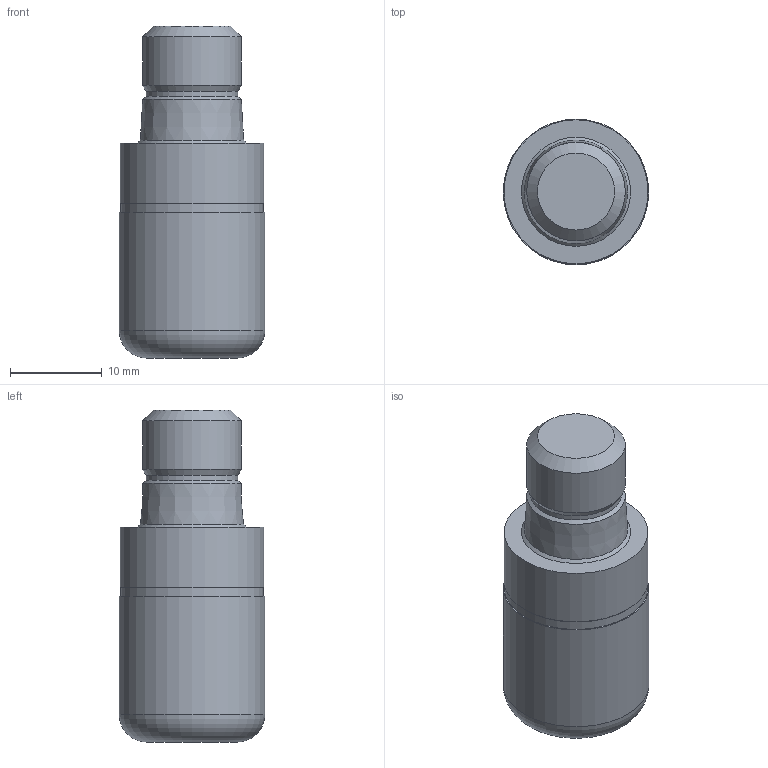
import cadquery as cq

overall_length = 36.2
shoulder_height = 23.4
joint_height = 16.9
band_height = 1.0
bottom_rounding = 3.0

collar_radius = 7.85
root_flare_radius = 5.95
root_flare_height = 0.32
root_base_radius = 5.63
root_height = 4.8
stud_radius = 5.375
groove_radius = 5.0
groove_lower_height = 0.32
groove_floor_width = 0.55
groove_upper_height = 0.65
tip_radius = 4.2
tip_taper_height = 1.15

cap_radius = 15.88 / 2
band_radius = 7.8

groove_start = shoulder_height + root_height
groove_floor_start = groove_start + groove_lower_height
groove_floor_end = groove_floor_start + groove_floor_width
groove_end = groove_floor_end + groove_upper_height


def revolve_profile(profile):
    """Turn a closed half outline (radius, height) about the Z axis."""
    return profile.close().revolve(360, (0, 0, 0), (0, 1, 0))


def make_plug():
    """Collar carrying a tapered root, a groove with sloping sides and a stud with a bevelled tip."""
    profile = (
        cq.Workplane("XZ")
        .moveTo(0, joint_height)
        .lineTo(collar_radius, joint_height)
        .lineTo(collar_radius, shoulder_height)
        .lineTo(root_flare_radius, shoulder_height)
        .lineTo(root_base_radius, shoulder_height + root_flare_height)
        .lineTo(stud_radius, groove_start)
        .lineTo(groove_radius, groove_floor_start)
        .lineTo(groove_radius, groove_floor_end)
        .lineTo(stud_radius, groove_end)
        .lineTo(stud_radius, overall_length - tip_taper_height)
        .lineTo(tip_radius, overall_length)
        .lineTo(0, overall_length)
    )
    return revolve_profile(profile)


def make_cap():
    """Round-bottomed cap with a short, slightly narrower band below the joint."""
    band_start = joint_height - band_height
    body = (
        cq.Workplane("XY")
        .circle(cap_radius)
        .extrude(band_start)
        .faces("<Z")
        .edges()
        .fillet(bottom_rounding)
    )
    band = cq.Workplane("XY").workplane(offset=band_start).circle(band_radius).extrude(band_height)
    return body.union(band)


plug = make_plug()
cap = make_cap()
result = cq.Compound.makeCompound([plug.val(), cap.val()])